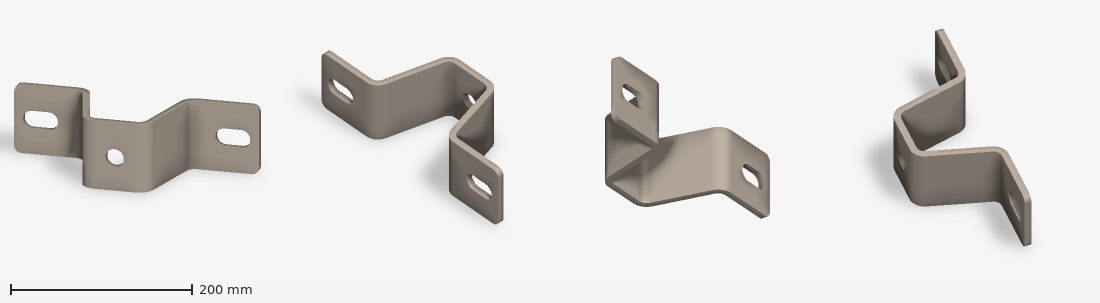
import cadquery as cq
import math

length = 280.0
depth = 100.0
height = 80.0

thickness = 8.0
inner_radius = 9.8
outer_radius = inner_radius + thickness
bend_angle = math.radians(75)
nose_half_width = 23.2

corner_radius = 8.0
slot_length = 40.0
slot_width = 21.3
slot_center_x = 110.0
hole_diameter = 21.0
hole_drop = 2.0

mid_radius = inner_radius + thickness / 2
leg_rise = depth - thickness - 2 * mid_radius * (1 - math.cos(bend_angle))
leg_length = leg_rise / math.sin(bend_angle)
nose_bend_x = nose_half_width
flange_bend_x = (
    nose_bend_x + 2 * mid_radius * math.sin(bend_angle) + leg_length * math.cos(bend_angle)
)
nose_bend_y = outer_radius
flange_bend_y = depth - outer_radius


def nose_point(radius, angle, side):
    """Point on a nose bend; the angle is turned from the flat nose."""
    x = nose_bend_x + radius * math.sin(angle)
    return side * x, nose_bend_y - radius * math.cos(angle)


def flange_point(radius, angle, side):
    """Point on a flange bend; the angle is turned from the flat flange."""
    x = flange_bend_x - radius * math.sin(angle)
    return side * x, flange_bend_y + radius * math.cos(angle)


def make_strip():
    """Hat-shaped strip, extruded along Z and centred on mid-height."""
    half_bend = bend_angle / 2
    front_y = depth - thickness
    profile = (
        cq.Workplane("XY", origin=(0, 0, -height / 2))
        .moveTo(-length / 2, front_y)
        .lineTo(*flange_point(inner_radius, 0, -1))
        .threePointArc(
            flange_point(inner_radius, half_bend, -1), flange_point(inner_radius, bend_angle, -1)
        )
        .lineTo(*nose_point(outer_radius, bend_angle, -1))
        .threePointArc(nose_point(outer_radius, half_bend, -1), nose_point(outer_radius, 0, -1))
        .lineTo(*nose_point(outer_radius, 0, 1))
        .threePointArc(
            nose_point(outer_radius, half_bend, 1), nose_point(outer_radius, bend_angle, 1)
        )
        .lineTo(*flange_point(inner_radius, bend_angle, 1))
        .threePointArc(flange_point(inner_radius, half_bend, 1), flange_point(inner_radius, 0, 1))
        .lineTo(length / 2, front_y)
        .lineTo(length / 2, depth)
        .lineTo(*flange_point(outer_radius, 0, 1))
        .threePointArc(
            flange_point(outer_radius, half_bend, 1), flange_point(outer_radius, bend_angle, 1)
        )
        .lineTo(*nose_point(inner_radius, bend_angle, 1))
        .threePointArc(nose_point(inner_radius, half_bend, 1), nose_point(inner_radius, 0, 1))
        .lineTo(*nose_point(inner_radius, 0, -1))
        .threePointArc(
            nose_point(inner_radius, half_bend, -1), nose_point(inner_radius, bend_angle, -1)
        )
        .lineTo(*flange_point(outer_radius, bend_angle, -1))
        .threePointArc(
            flange_point(outer_radius, half_bend, -1), flange_point(outer_radius, 0, -1)
        )
        .lineTo(-length / 2, depth)
        .close()
    )
    return profile.extrude(height)


def make_openings():
    """Cutters for the two flange slots and the round nose hole, running along Y."""
    face = cq.Workplane("XZ", origin=(0, depth, 0))
    slots = (
        face.pushPoints([(-slot_center_x, 0), (slot_center_x, 0)])
        .slot2D(slot_length, slot_width)
        .extrude(depth)
    )
    hole = face.center(0, -hole_drop).circle(hole_diameter / 2).extrude(depth)
    return slots.union(hole)


strip = make_strip()
strip = strip.faces("<X or >X").edges("|Y").fillet(corner_radius)

result = strip.cut(make_openings())